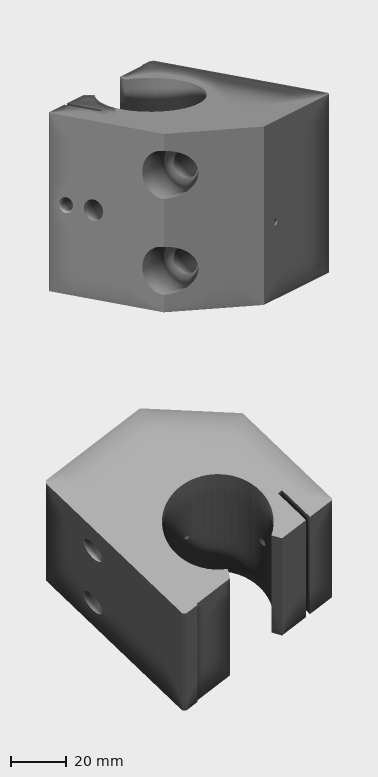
import cadquery as cq
import math

length = 75.0
width = 72.0
height = 67.0
mid_height = height / 2
rear_chamfer = 1.0
front_chamfer = 0.5
bevel = 26.0

land_height = 0.5
land_width = 6.5

bore_diameter = 40.0
bore_x = 21.0
bore_y = 37.0
mouth_half_width = 10.5
mouth_flare_angle = 30.0

slot_start_y = 11.0
slot_width = 1.95
slot_end_x = 15.5

mount_x = length - bevel
mount_spacing = 36.0
mount_diameter = 10.1
mount_counterbore_diameter = 18.0
mount_counterbore_depth = 15.0

jack_x = 8.0
jack_diameter = 4.95
jack_mouth_diameter = 6.0

clamp_x = 19.5
clamp_diameter = 4.1
clamp_mouth_diameter = 4.95
clamp_counterbore_diameter = 8.0
clamp_counterbore_depth = 10.0

cross_diameter = 2.5
cross_y = 34.05
cross_z = 28.95


def make_block():
    """Extrude the outer outline, including the land, bevel and corner chamfers."""
    outline = [
        (land_height + front_chamfer, 0),
        (length - bevel, 0),
        (length, bevel),
        (length, width - rear_chamfer),
        (length - rear_chamfer, width),
        (rear_chamfer, width),
        (0, width - rear_chamfer),
        (0, width - land_width),
        (land_height, width - land_width),
        (land_height, front_chamfer),
    ]
    return cq.Workplane("XY").polyline(outline).close().extrude(height)


def make_shaft_opening():
    """Cylindrical bore joined to the flared mouth on the -X side."""
    bore_radius = bore_diameter / 2
    throat_x = bore_x - math.sqrt(bore_radius**2 - mouth_half_width**2)
    outer_half_width = mouth_half_width + throat_x * math.tan(math.radians(mouth_flare_angle))
    mouth = (
        cq.Workplane("XY")
        .polyline([
            (0, bore_y - outer_half_width),
            (throat_x, bore_y - mouth_half_width),
            (bore_x, bore_y),
            (throat_x, bore_y + mouth_half_width),
            (0, bore_y + outer_half_width),
        ])
        .close()
        .extrude(height)
    )
    bore = cq.Workplane("XY").center(bore_x, bore_y).circle(bore_radius).extrude(height)
    return bore.union(mouth)


def make_slot():
    """Thin slot through the full height, open on the -X side."""
    slot = cq.Workplane("XY").box(slot_end_x, slot_width, height, centered=False)
    return slot.translate((0, slot_start_y, 0))


def cylinder_along_y(diameter, x, z, start_y, end_y):
    """Cylinder between two Y positions."""
    start = cq.Vector(x, start_y, z)
    return cq.Workplane(cq.Solid.makeCylinder(diameter / 2, end_y - start_y, start, cq.Vector(0, 1, 0)))


def countersink_along_y(mouth_diameter, hole_diameter, x, start_y):
    """45 degree countersink at mid height that narrows towards +Y."""
    depth = (mouth_diameter - hole_diameter) / 2
    start = cq.Vector(x, start_y, mid_height)
    cone = cq.Solid.makeCone(mouth_diameter / 2, hole_diameter / 2, depth, start, cq.Vector(0, 1, 0))
    return cq.Workplane(cone)


def make_mounting_hole(z):
    """Through hole along Y with a counterbore on the -Y side."""
    hole = cylinder_along_y(mount_diameter, mount_x, z, 0, width)
    counterbore = cylinder_along_y(mount_counterbore_diameter, mount_x, z, 0, mount_counterbore_depth)
    return hole.union(counterbore)


def make_jack_hole():
    """Countersunk hole from the -Y side that ends in the slot."""
    hole = cylinder_along_y(jack_diameter, jack_x, mid_height, 0, slot_start_y + slot_width / 2)
    return hole.union(countersink_along_y(jack_mouth_diameter, jack_diameter, jack_x, 0))


def make_clamp_hole():
    """Counterbored and countersunk hole from the -Y side that opens into the bore."""
    hole = cylinder_along_y(clamp_diameter, clamp_x, mid_height, 0, bore_y)
    counterbore = cylinder_along_y(
        clamp_counterbore_diameter, clamp_x, mid_height, 0, clamp_counterbore_depth
    )
    countersink = countersink_along_y(
        clamp_mouth_diameter, clamp_diameter, clamp_x, clamp_counterbore_depth
    )
    return hole.union(counterbore).union(countersink)


def make_cross_hole():
    """Small hole along X from inside the bore out through the +X side."""
    start = cq.Vector(bore_x, cross_y, cross_z)
    return cq.Workplane(
        cq.Solid.makeCylinder(cross_diameter / 2, length - bore_x, start, cq.Vector(1, 0, 0))
    )


result = make_block().cut(make_shaft_opening()).cut(make_slot())
for side in (-1, 1):
    result = result.cut(make_mounting_hole(mid_height + side * mount_spacing / 2))
result = result.cut(make_jack_hole()).cut(make_clamp_hole()).cut(make_cross_hole())